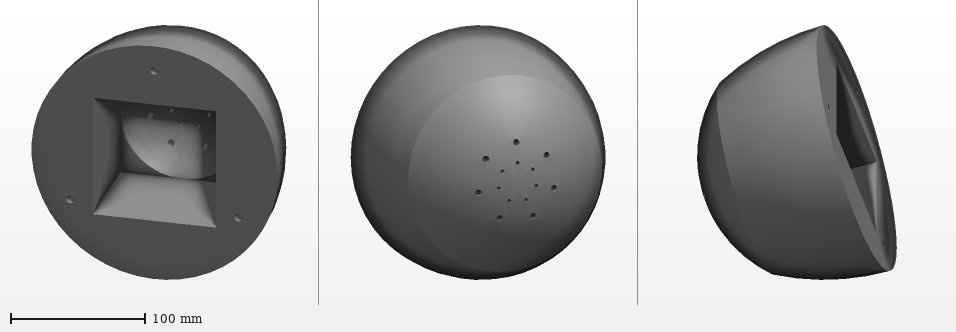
import cadquery as cq
import math

base_radius = 95.0
total_depth = 120.0
seam_depth = 85.0
seam_radius = 75.0

pocket_side = base_radius
pocket_depth = 79.8
recess_radius = pocket_side / 2
recess_height = 25.0

mount_count = 3
mount_diameter = 6.0
mount_circle_radius = 74.9
mount_depth = 19.0
vent_count = 7
outer_vent_diameter = 5.0
outer_vent_circle_radius = 30.0
inner_vent_diameter = 3.0
inner_vent_circle_radius = outer_vent_circle_radius / 2


def arc_through_axis_center(center_depth, start, end):
    """Midpoint of the arc from start to end about a point on the Y axis."""
    radius = math.hypot(start[0], start[1] - center_depth)
    middle_angle = (
        math.atan2(start[1] - center_depth, start[0])
        + math.atan2(end[1] - center_depth, end[0])
    ) / 2
    return (radius * math.cos(middle_angle), center_depth + radius * math.sin(middle_angle))


def cap_midpoint(rim_radius, rim_depth, height):
    """Midpoint of a spherical cap's profile, between its rim and its apex."""
    sphere_radius = (rim_radius**2 + height**2) / (2 * height)
    apex_depth = rim_depth + height
    return arc_through_axis_center(
        apex_depth - sphere_radius, (rim_radius, rim_depth), (0, apex_depth)
    )


def flank_midpoint():
    """Midpoint of the side arc, which starts parallel to the Y axis at the base."""
    inset = base_radius - seam_radius
    flank_radius = (seam_depth**2 + inset**2) / (2 * inset)
    half_angle = math.asin(seam_depth / flank_radius) / 2
    return (
        base_radius - flank_radius * (1 - math.cos(half_angle)),
        flank_radius * math.sin(half_angle),
    )


def revolve_about_y(profile):
    return profile.close().revolve(360, (0, 0), (0, 1))


def make_shell():
    profile = (
        cq.Workplane("XY")
        .lineTo(base_radius, 0)
        .threePointArc(flank_midpoint(), (seam_radius, seam_depth))
        .threePointArc(
            cap_midpoint(seam_radius, seam_depth, total_depth - seam_depth),
            (0, total_depth),
        )
    )
    return revolve_about_y(profile)


def make_pocket():
    return cq.Workplane("XZ").rect(pocket_side, pocket_side).extrude(-pocket_depth)


def make_recess():
    profile = (
        cq.Workplane("XY")
        .moveTo(0, pocket_depth)
        .lineTo(recess_radius, pocket_depth)
        .threePointArc(
            cap_midpoint(recess_radius, pocket_depth, recess_height),
            (0, pocket_depth + recess_height),
        )
    )
    return revolve_about_y(profile)


def make_hole_ring(count, diameter, circle_radius, depth):
    """Pins along +Y from the base face, the first one straight above the axis."""
    return (
        cq.Workplane("XZ")
        .polarArray(circle_radius, 90, 360, count)
        .circle(diameter / 2)
        .extrude(-depth)
    )


result = (
    make_shell()
    .cut(make_pocket())
    .cut(make_recess())
    .cut(make_hole_ring(mount_count, mount_diameter, mount_circle_radius, mount_depth))
    .cut(make_hole_ring(vent_count, outer_vent_diameter, outer_vent_circle_radius, total_depth))
    .cut(make_hole_ring(vent_count, inner_vent_diameter, inner_vent_circle_radius, total_depth))
)